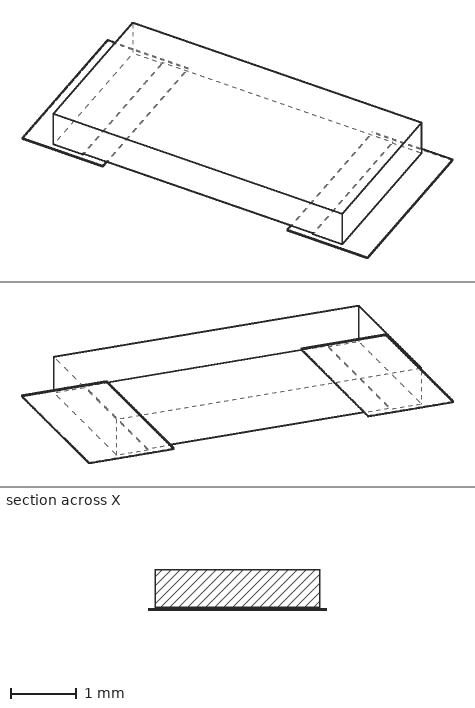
import cadquery as cq

overall_length = 6.0
overall_width = 2.7
overall_height = 0.62
land_length = 1.4
land_thickness = 0.02

body_length = 5.02
body_width = 2.515
body_height = overall_height - land_thickness

relief_length = 3.995
relief_depth = 0.02


def block(length, width, height, bottom, center_x=0):
    """Rectangular block centred on the X axis with its underside at the given height."""
    return (
        cq.Workplane("XY", origin=(center_x, 0, bottom))
        .box(length, width, height, centered=(True, True, False))
    )


def make_body():
    """Chip that rests on a flat foot at each end."""
    chip = block(body_length, body_width, body_height, land_thickness)
    relief = block(relief_length, body_width, relief_depth, land_thickness)
    return chip.cut(relief)


def make_land(side):
    """Thin rectangular land, on the -X side for -1 and the +X side for +1."""
    center_x = side * (overall_length - land_length) / 2
    return block(land_length, overall_width, land_thickness, 0, center_x)


body = make_body()
lands = [make_land(side) for side in (-1, 1)]

result = cq.Compound.makeCompound([body.val(), *[land.val() for land in lands]])